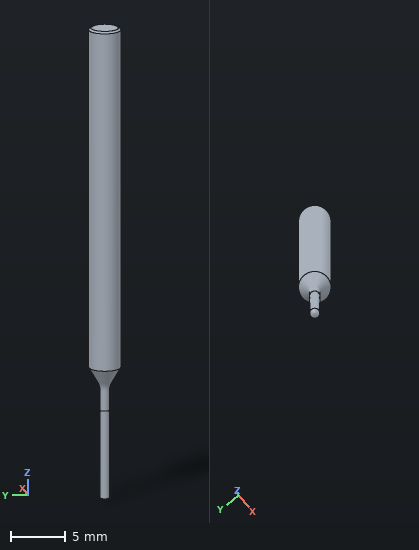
import cadquery as cq
import math

overall_length = 45.0
shank_radius = 3.0 / 2
cutter_radius = 0.95 / 2
end_chamfer_width = 0.22
end_chamfer_height = 0.2
shank_bottom_z = 12.65
neck_bottom_z = 8.55
taper_angle = math.radians(30)
blend_radius = 1.35
point_angle = math.radians(140)

point_height = cutter_radius / math.tan(point_angle / 2)
cone_end_radius = cutter_radius + blend_radius * (1 - math.cos(taper_angle))
cone_end_z = shank_bottom_z - (shank_radius - cone_end_radius) / math.tan(taper_angle)
blend_end_z = cone_end_z - blend_radius * math.sin(taper_angle)
blend_mid_radius = cutter_radius + blend_radius * (1 - math.cos(taper_angle / 2))
blend_mid_z = blend_end_z + blend_radius * math.sin(taper_angle / 2)


def revolve_about_z(profile):
    """Turn a closed (radius, Z) half-profile into a solid around the Z axis."""
    return profile.close().revolve(360, (0, 0, 0), (0, 1, 0))


def make_shank():
    """Plain cylindrical shank with a chamfered upper end."""
    return revolve_about_z(
        cq.Workplane("XZ")
        .moveTo(0, shank_bottom_z)
        .lineTo(shank_radius, shank_bottom_z)
        .lineTo(shank_radius, overall_length - end_chamfer_height)
        .lineTo(shank_radius - end_chamfer_width, overall_length)
        .lineTo(0, overall_length)
    )


def make_neck():
    """Cone below the shank, blended by a tangent arc into a thin cylinder."""
    return revolve_about_z(
        cq.Workplane("XZ")
        .moveTo(0, neck_bottom_z)
        .lineTo(cutter_radius, neck_bottom_z)
        .lineTo(cutter_radius, blend_end_z)
        .threePointArc((blend_mid_radius, blend_mid_z), (cone_end_radius, cone_end_z))
        .lineTo(shank_radius, shank_bottom_z)
        .lineTo(0, shank_bottom_z)
    )


def make_cutter():
    """Thin cylindrical cutting part ending in a shallow conical point."""
    return revolve_about_z(
        cq.Workplane("XZ")
        .moveTo(0, 0)
        .lineTo(cutter_radius, point_height)
        .lineTo(cutter_radius, neck_bottom_z)
        .lineTo(0, neck_bottom_z)
    )


shank = make_shank()
neck = make_neck()
cutter = make_cutter()

result = cq.Compound.makeCompound([shank.val(), neck.val(), cutter.val()])